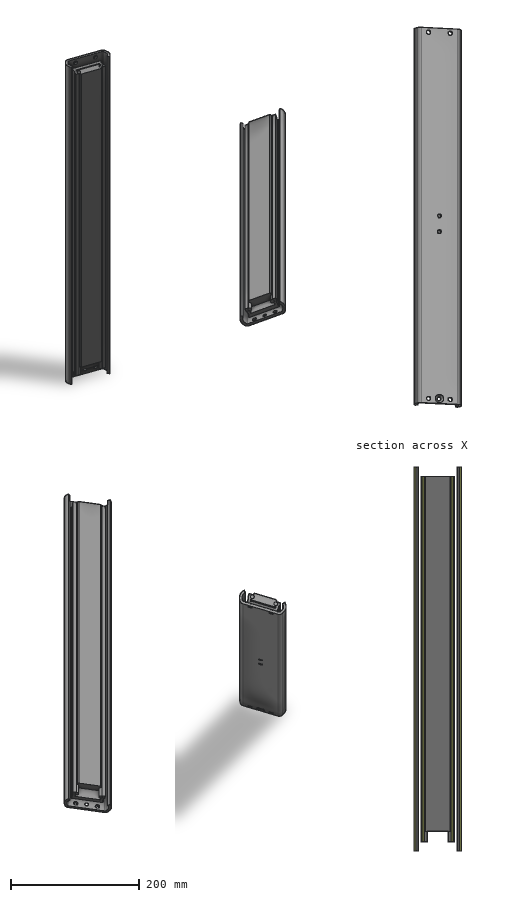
import cadquery as cq
import math

LENGTH = 600.0
INSIDE_TOP_Z = 585.0

OUTER_THICKNESS = 4.0
HALF_WIDTH = 37.5
CORNER_RADIUS = 6.5
CORNER_CENTRE_Y = 29.0
CORNER_END_ANGLE = 118.0
LIP_RADIUS = 13.0
LIP_CENTRE_X = 12.0
LIP_CENTRE_Y = HALF_WIDTH - LIP_RADIUS
LIP_START_ANGLE = 103.0
LIP_END_ANGLE = 42.0

END_HOLE_DIAMETER = 6.5
END_HOLE_Y = 17.5
END_HOLE_INSET = 7.0
MIDDLE_HOLE_DIAMETER = 6.0
MIDDLE_HOLE_HEIGHTS = (LENGTH / 2, 275.0)
SCREW_HOLE_DIAMETER = 5.5
SCREW_HEAD_DIAMETER = 13.0
SCREW_HOLE_Z = 8.0
COUNTERSINK_ANGLE = 90.0

MIDDLE_BOTTOM_Z = 14.5
MIDDLE_LENGTH = INSIDE_TOP_Z - MIDDLE_BOTTOM_Z
MIDDLE_BACK_X = 6.0
MIDDLE_WEB_THICKNESS = 6.0
MIDDLE_TIP_X = 23.0
MIDDLE_HALF_WIDTH = 26.0
FLANGE_INNER_Y = 20.5
RACE_START_X = 8.5
RACE_END_X = 17.0
RACE_DEPTH = 1.0

INNER_BOTTOM_Z = 30.5
INNER_LENGTH = INSIDE_TOP_Z - INNER_BOTTOM_Z
INNER_BACK_X = 14.0
INNER_FRONT_X = 26.0
INNER_HALF_WIDTH = 19.0
INNER_CHAMFER = 2.0

ROD_DIAMETER = 6.0
ROD_X = 19.0
ROD_Y = 19.0


def polar(centre, radius, angle):
    """Point at an angle in degrees, measured from +X toward +Y, on a circle."""
    return (
        centre[0] + radius * math.cos(math.radians(angle)),
        centre[1] + radius * math.sin(math.radians(angle)),
    )


def mirrored(point):
    return (point[0], -point[1])


def outer_profile():
    """Outline of the outer rail, drawn along its outside and back along its inside."""
    corner = (CORNER_RADIUS, CORNER_CENTRE_Y)
    lip = (LIP_CENTRE_X, LIP_CENTRE_Y)
    corner_middle = (180 + CORNER_END_ANGLE) / 2
    lip_middle = (LIP_START_ANGLE + LIP_END_ANGLE) / 2

    def edge_points(offset):
        corner_radius = CORNER_RADIUS - offset
        lip_radius = LIP_RADIUS - offset
        return [
            polar(corner, corner_radius, 180),
            polar(corner, corner_radius, corner_middle),
            polar(corner, corner_radius, CORNER_END_ANGLE),
            polar(lip, lip_radius, LIP_START_ANGLE),
            polar(lip, lip_radius, lip_middle),
            polar(lip, lip_radius, LIP_END_ANGLE),
        ]

    outside = edge_points(0)
    inside = edge_points(OUTER_THICKNESS)
    low_outside = [mirrored(point) for point in outside]
    low_inside = [mirrored(point) for point in inside]
    return (
        cq.Workplane("XY")
        .moveTo(*low_outside[0])
        .lineTo(*outside[0])
        .threePointArc(outside[1], outside[2])
        .lineTo(*outside[3])
        .threePointArc(outside[4], outside[5])
        .lineTo(*inside[5])
        .threePointArc(inside[4], inside[3])
        .lineTo(*inside[2])
        .threePointArc(inside[1], inside[0])
        .lineTo(*low_inside[0])
        .threePointArc(low_inside[1], low_inside[2])
        .lineTo(*low_inside[3])
        .threePointArc(low_inside[4], low_inside[5])
        .lineTo(*low_outside[5])
        .threePointArc(low_outside[4], low_outside[3])
        .lineTo(*low_outside[2])
        .threePointArc(low_outside[1], low_outside[0])
        .close()
    )


def web_holes(points, diameter):
    """Cylinders along X that cut through the web at the given (Y, Z) points."""
    return cq.Workplane("YZ").pushPoints(points).circle(diameter / 2).extrude(OUTER_THICKNESS)


def screw_hole():
    """Through hole with a countersink on the back of the web."""
    head_radius = SCREW_HEAD_DIAMETER / 2
    hole_radius = SCREW_HOLE_DIAMETER / 2
    sink_depth = (head_radius - hole_radius) / math.tan(math.radians(COUNTERSINK_ANGLE / 2))
    sink = cq.Solid.makeCone(
        head_radius, hole_radius, sink_depth, cq.Vector(0, 0, SCREW_HOLE_Z), cq.Vector(1, 0, 0)
    )
    return web_holes([(0, SCREW_HOLE_Z)], SCREW_HOLE_DIAMETER).union(cq.Workplane(sink))


def make_outer_rail():
    end_points = [
        (side * END_HOLE_Y, z)
        for side in (-1, 1)
        for z in (END_HOLE_INSET, LENGTH - END_HOLE_INSET)
    ]
    middle_points = [(0, z) for z in MIDDLE_HOLE_HEIGHTS]
    return (
        outer_profile()
        .extrude(LENGTH)
        .cut(web_holes(end_points, END_HOLE_DIAMETER))
        .cut(web_holes(middle_points, MIDDLE_HOLE_DIAMETER))
        .cut(screw_hole())
    )


def make_guide_rod(side):
    """Rod on the +Y (side = 1) or -Y (side = -1) edge; it also cuts its own seats in the rails."""
    return (
        cq.Workplane("XY", origin=(ROD_X, side * ROD_Y, MIDDLE_BOTTOM_Z))
        .circle(ROD_DIAMETER / 2)
        .extrude(MIDDLE_LENGTH)
    )


def make_middle_rail():
    web_front_x = MIDDLE_BACK_X + MIDDLE_WEB_THICKNESS
    race_y = MIDDLE_HALF_WIDTH - RACE_DEPTH
    upper = [
        (MIDDLE_BACK_X, MIDDLE_HALF_WIDTH),
        (RACE_START_X, MIDDLE_HALF_WIDTH),
        (RACE_START_X, race_y),
        (RACE_END_X, race_y),
        (RACE_END_X, MIDDLE_HALF_WIDTH),
        (MIDDLE_TIP_X, MIDDLE_HALF_WIDTH),
        (MIDDLE_TIP_X, FLANGE_INNER_Y),
        (web_front_x, FLANGE_INNER_Y),
    ]
    lower = [mirrored(point) for point in reversed(upper)]
    rail = (
        cq.Workplane("XY", origin=(0, 0, MIDDLE_BOTTOM_Z))
        .polyline(upper + lower)
        .close()
        .extrude(MIDDLE_LENGTH)
    )
    for side in (-1, 1):
        rail = rail.cut(make_guide_rod(side))
    return rail


def make_inner_rail():
    rail = (
        cq.Workplane("XY", origin=(0, 0, INNER_BOTTOM_Z))
        .moveTo((INNER_BACK_X + INNER_FRONT_X) / 2, 0)
        .rect(INNER_FRONT_X - INNER_BACK_X, 2 * INNER_HALF_WIDTH)
        .extrude(INNER_LENGTH)
        .edges("|Z and >X")
        .chamfer(INNER_CHAMFER)
    )
    for side in (-1, 1):
        rail = rail.cut(make_guide_rod(side))
    return rail


outer_rail = make_outer_rail()
middle_rail = make_middle_rail()
inner_rail = make_inner_rail()
guide_rods = [make_guide_rod(side) for side in (-1, 1)]

result = cq.Compound.makeCompound(
    [outer_rail.val(), middle_rail.val(), inner_rail.val(), *[rod.val() for rod in guide_rods]]
)